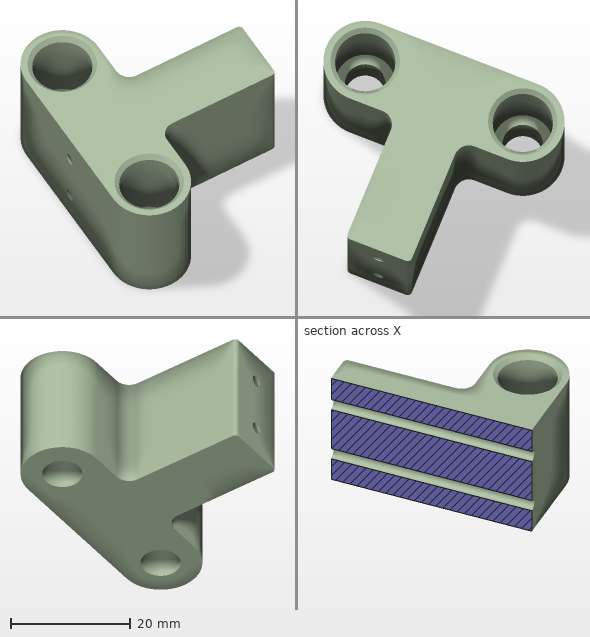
import cadquery as cq

length = 42.55
height = 21.05
bar_width = 14.05
end_radius = bar_width / 2
bore_spacing = length - bar_width

overall_depth = 36.85
stem_width = 11.6
stem_reach = overall_depth - end_radius
root_fillet = 2.5
tip_fillet = 0.75

through_diameter = 6.8
counterbore_diameter = 10.13
counterbore_depth = 14.05
mouth_chamfer = 0.75

cross_hole_diameter = 2.05
cross_hole_spacing = 10.2
cross_hole_mid_height = 10.45


def make_body():
    """T-shaped block, centred on the crossbar, standing on Z = 0."""
    bar = cq.Workplane("XY").slot2D(length, bar_width).extrude(height)
    stem = cq.Workplane("XY").box(
        stem_width, stem_reach, height, centered=(True, False, False)
    )
    body = bar.union(stem)
    for side in (-1, 1):
        root = (side * stem_width / 2, end_radius, height / 2)
        body = body.edges(cq.selectors.NearestToPointSelector(root)).fillet(root_fillet)
    return body.faces(">Y").edges("|Z").fillet(tip_fillet)


def make_bore(x):
    """Cutter for a through hole with a deep, chamfered counterbore from the top."""
    through_radius = through_diameter / 2
    counterbore_radius = counterbore_diameter / 2
    floor = height - counterbore_depth
    return (
        cq.Workplane("XZ")
        .moveTo(0, 0)
        .lineTo(through_radius, 0)
        .lineTo(through_radius, floor)
        .lineTo(counterbore_radius, floor)
        .lineTo(counterbore_radius, height - mouth_chamfer)
        .lineTo(counterbore_radius + mouth_chamfer, height)
        .lineTo(0, height)
        .close()
        .revolve(360, (0, 0, 0), (0, 1, 0))
        .translate((x, 0, 0))
    )


def make_cross_hole(z):
    """Cutter for a round hole running the full depth of the part along Y."""
    return (
        cq.Workplane("XZ", origin=(0, -end_radius, z))
        .circle(cross_hole_diameter / 2)
        .extrude(-overall_depth)
    )


result = make_body()
for side in (-1, 1):
    result = result.cut(make_bore(side * bore_spacing / 2))
    result = result.cut(make_cross_hole(cross_hole_mid_height + side * cross_hole_spacing / 2))